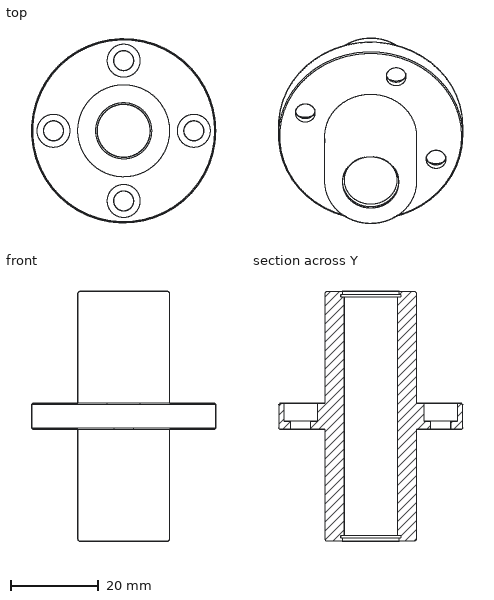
import cadquery as cq

length = 57.0
body_diameter = 21.0
body_edge_fillet = 0.55

flange_diameter = 42.0
flange_thickness = 6.0
flange_edge_chamfer = 0.3

bore_diameter = 12.0
mouth_diameter = 12.8
mouth_depth = 0.8
groove_diameter = 13.6
groove_width = 0.5

bolt_count = 4
bolt_circle_diameter = 32.0
bolt_hole_diameter = 4.5
counterbore_diameter = 7.5
counterbore_depth = 4.1


def cylinder(diameter, height, bottom):
    """Solid cylinder on the Z axis, standing on the height 'bottom'."""
    return cq.Workplane("XY").workplane(offset=bottom).circle(diameter / 2).extrude(height)


def make_body():
    """Sleeve blank with rounded end edges, centred on the origin."""
    return cylinder(body_diameter, length, -length / 2).edges().fillet(body_edge_fillet)


def make_flange():
    """Round mounting flange at mid length, with counterbored bolt holes."""
    blank = cylinder(flange_diameter, flange_thickness, -flange_thickness / 2)
    return (
        blank.edges()
        .chamfer(flange_edge_chamfer)
        .faces(">Z")
        .workplane()
        .polarArray(bolt_circle_diameter / 2, 0, 360, bolt_count)
        .cboreHole(bolt_hole_diameter, counterbore_diameter, counterbore_depth)
    )


def make_bore():
    """Through bore with a wider mouth and a ring groove just inside it at both ends."""
    bore = cylinder(bore_diameter, length, -length / 2)
    groove_end_depth = mouth_depth + groove_width
    top_end = (
        cylinder(mouth_diameter, mouth_depth, length / 2 - mouth_depth)
        .union(cylinder(groove_diameter, groove_width, length / 2 - groove_end_depth))
    )
    return bore.union(top_end).union(top_end.mirror("XY"))


result = make_body().union(make_flange()).cut(make_bore())